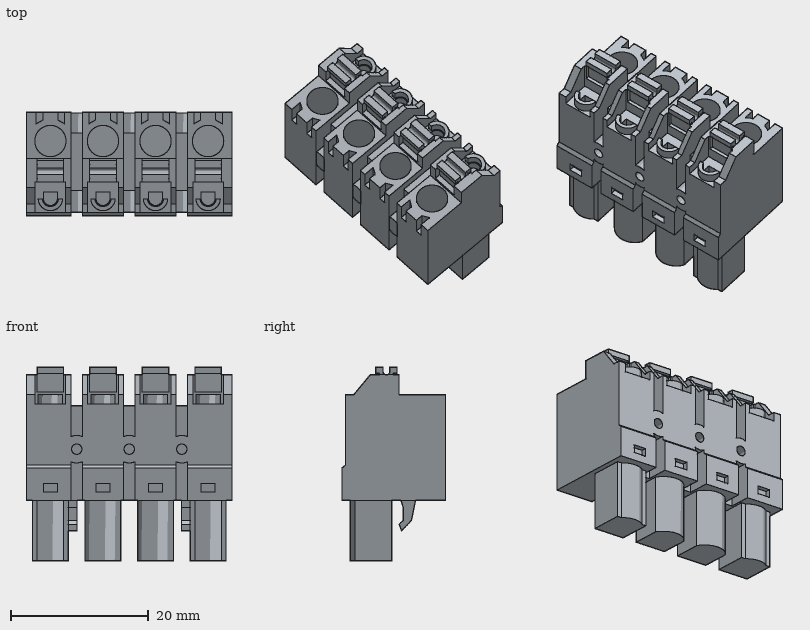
import cadquery as cq


pole_count = 4
pitch = 7.62
housing_length = 29.8
pole_centers = [(index - (pole_count - 1) / 2) * pitch for index in range(pole_count)]
gap_centers = [x + pitch / 2 for x in pole_centers[:-1]]
gap_width = 1.63

housing_depth = 15.05
skirt_projection = 0.5
skirt_face_top = 4.7
skirt_chamfer = 0.42
shoulder_height = 15.32
tower_height = 18.22
tower_front_foot = 1.7
tower_front_top = 4.12
tower_back = 8.3

web_front = 3.65
web_back = 12.05
web_height = 13.75
boss_radius = 2.0
boss_axis_z = 7.43
boss_back_recess = 0.13
boss_back = housing_depth - boss_back_recess
boss_hole_radius = 0.75
boss_hole_depth = 2.0

window_width = 2.06
window_bottom = 1.22
window_height = 1.22
window_depth = 0.8

bay_width = 4.45
bay_floor = 13.98
bay_back = 4.93

wire_hole_radius = 2.27
wire_hole_y = 10.85
wire_hole_depth = 10.0

key_inner_x = 1.08
key_outer_x = 2.06
key_inner_length = 1.15
key_outer_length = 1.7
key_depth = 3.0

collar_center_y = 2.53
collar_back = 2.45
collar_outer_radius = 1.77
collar_inner_radius = 1.17
pit_radius = 1.02
pit_back = 3.47
pit_depth = 1.5

leg_length = 8.75
leg_width = 5.22
leg_back = 7.25
leg_front = 1.2
leg_radius = 3.0
leg_axis_y = leg_front + leg_radius
outer_leg_block_front = 1.9

hook_width = 2.0
hook_inner_face = 7.57
hook_root_back = 10.7
hook_root_front = 8.55
hook_root_taper_z = -1.0
hook_bend_back = 10.1
hook_bend_front = 8.88
hook_bend_z = -2.9
hook_tip_y = 8.65
hook_tip_z = -4.42
hook_nose_y = 8.3
hook_nose_z = -3.46

overall_height = 28.07
lever_width = 3.86
lever_seat = 15.75
lever_top = overall_height - leg_length
head_bottom = 18.43
head_front = 4.9
head_back = 8.02
neck_front = 5.45
neck_back = 7.48
groove_radius = 0.48
groove_axis_z = tower_height + groove_radius


def box(x0, x1, y0, y1, z0, z1):
    """Box between two opposite corners."""
    return cq.Workplane("XY").box(x1 - x0, y1 - y0, z1 - z0, centered=False).translate((x0, y0, z0))


def centered_box(x_center, width, y0, y1, z0, z1):
    """Box centred on one X position."""
    return box(x_center - width / 2, x_center + width / 2, y0, y1, z0, z1)


def cylinder_along_y(x, z, radius, y0, y1):
    """Cylinder whose axis is parallel to Y."""
    return cq.Workplane("XZ", origin=(x, y0, z)).circle(radius).extrude(y0 - y1)


def housing_block():
    """Side profile with stepped skirt and sloped tower, extruded along the row."""
    profile = [
        (0, 0),
        (housing_depth, 0),
        (housing_depth, shoulder_height),
        (tower_back, shoulder_height),
        (tower_back, tower_height),
        (tower_front_top, tower_height),
        (tower_front_foot, shoulder_height),
        (skirt_projection, shoulder_height),
        (skirt_projection, skirt_face_top + skirt_chamfer),
        (0, skirt_face_top),
    ]
    return cq.Workplane("YZ").polyline(profile).close().extrude(housing_length / 2, both=True)


def pole_gap(x):
    """Full-height slot with a web and a round boss left standing across it."""
    slot = centered_box(x, gap_width, 0, housing_depth, 0, tower_height)
    web = centered_box(x, gap_width, web_front, web_back, 0, web_height)
    boss = cylinder_along_y(x, boss_axis_z, boss_radius, skirt_projection, boss_back)
    return slot.cut(web).cut(boss)


def boss_hole(x):
    return cylinder_along_y(
        x, boss_axis_z, boss_hole_radius, skirt_projection, skirt_projection + boss_hole_depth
    )


def key_notches(x):
    """Pair of mirrored notches with slanted ends in the top rear edge."""
    right = [
        (key_inner_x, housing_depth),
        (key_outer_x, housing_depth),
        (key_outer_x, housing_depth - key_outer_length),
        (key_inner_x, housing_depth - key_inner_length),
    ]
    left = [(-px, py) for px, py in right]
    base = cq.Workplane("XY", origin=(x, 0, shoulder_height))
    notches = base.polyline(right).close().extrude(-key_depth)
    return notches.union(base.polyline(left).close().extrude(-key_depth))


def pole_openings(x):
    """Everything removed from one pole: window, front bay, lever slot, wire hole, notches."""
    window = centered_box(x, window_width, 0, window_depth, window_bottom, window_bottom + window_height)
    bay = centered_box(x, bay_width, 0, bay_back, bay_floor, tower_height)
    lever_slot = centered_box(x, lever_width, bay_back, tower_back, lever_seat, tower_height)
    wire_hole = (
        cq.Workplane("XY", origin=(x, wire_hole_y, shoulder_height))
        .circle(wire_hole_radius)
        .extrude(-wire_hole_depth)
    )
    return window.union(bay).union(lever_slot).union(wire_hole).union(key_notches(x))


def test_point_collar(x):
    """Front half of a ring standing on the bay floor."""
    ring = (
        cq.Workplane("XY", origin=(x, collar_center_y, bay_floor))
        .circle(collar_outer_radius)
        .circle(collar_inner_radius)
        .extrude(shoulder_height - bay_floor)
    )
    front_half = centered_box(
        x, bay_width, skirt_projection, collar_back, bay_floor, shoulder_height
    )
    return ring.intersect(front_half)


def test_point_pit(x):
    """Square-backed, round-fronted pit in the bay floor."""
    return (
        cq.Workplane("XY", origin=(x, 0, bay_floor))
        .moveTo(-pit_radius, pit_back)
        .lineTo(-pit_radius, collar_center_y)
        .threePointArc((0, collar_center_y - pit_radius), (pit_radius, collar_center_y))
        .lineTo(pit_radius, pit_back)
        .close()
        .extrude(-pit_depth)
    )


def plug_leg(x, is_outer):
    """Leg with a rounded front; the outer legs also have square front corners."""
    whole = centered_box(x, leg_width, leg_front, leg_back, -leg_length, 0)
    rounded_front = cq.Workplane("XY", origin=(x, leg_axis_y, 0)).circle(leg_radius).extrude(-leg_length)
    block_front = outer_leg_block_front if is_outer else leg_axis_y
    block = centered_box(x, leg_width, block_front, leg_back, -leg_length, 0)
    return whole.intersect(rounded_front).union(block)


def latch_hook(side):
    """Hook hanging from the underside; side is -1 for the left end, +1 for the right end."""
    profile = [
        (hook_root_back, 0),
        (hook_bend_back, hook_bend_z),
        (hook_tip_y, hook_tip_z),
        (hook_nose_y, hook_nose_z),
        (hook_bend_front, hook_bend_z),
        (hook_bend_front, hook_root_taper_z),
        (hook_root_front, 0),
    ]
    outline = cq.Workplane("YZ", origin=(side * hook_inner_face, 0, 0)).polyline(profile).close()
    return outline.extrude(side * hook_width)


def build_housing():
    body = housing_block()
    for x in gap_centers:
        body = body.cut(pole_gap(x)).cut(boss_hole(x))
    for x in pole_centers:
        body = body.cut(pole_openings(x)).union(test_point_collar(x)).cut(test_point_pit(x))
        body = body.union(plug_leg(x, is_outer=x in (pole_centers[0], pole_centers[-1])))
    for side in (-1, 1):
        body = body.union(latch_hook(side))
    return body


def build_lever(x):
    """Neck standing on the lever slot floor under a deeper head with a U-shaped groove."""
    neck = centered_box(x, lever_width, neck_front, neck_back, lever_seat, head_bottom)
    head = centered_box(x, lever_width, head_front, head_back, head_bottom, lever_top)
    groove_axis_y = (head_front + head_back) / 2
    groove = (
        cq.Workplane("YZ", origin=(x, groove_axis_y, 0))
        .moveTo(-groove_radius, lever_top)
        .lineTo(-groove_radius, groove_axis_z)
        .threePointArc((0, groove_axis_z - groove_radius), (groove_radius, groove_axis_z))
        .lineTo(groove_radius, lever_top)
        .close()
        .extrude(lever_width / 2, both=True)
    )
    return neck.union(head).cut(groove)


housing = build_housing()
levers = [build_lever(x) for x in pole_centers]

result = cq.Compound.makeCompound([housing.val(), *[lever.val() for lever in levers]])